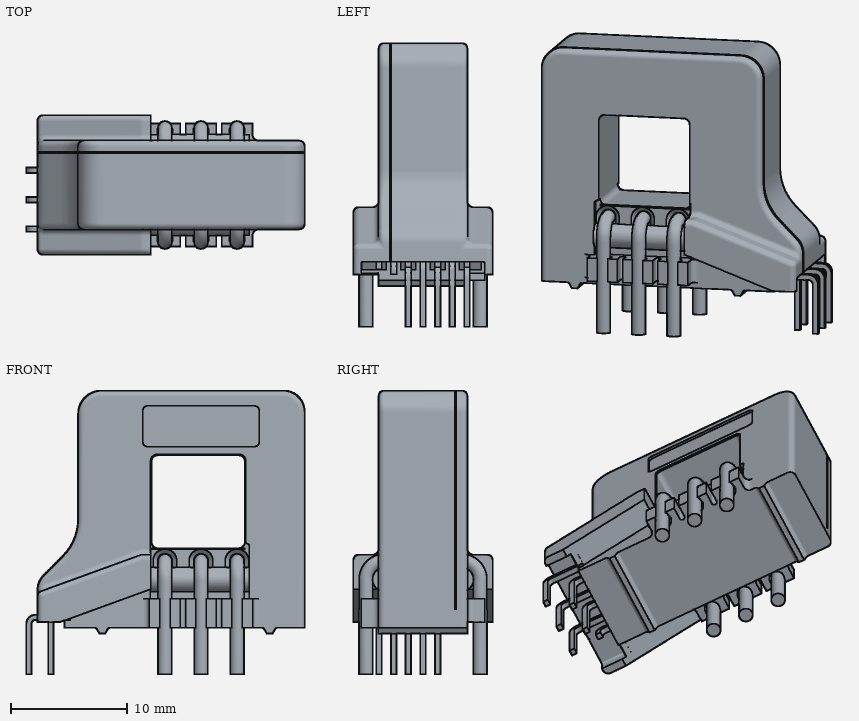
import cadquery as cq
import math


BODY_TOP = 20.4
BODY_RIGHT = 8.92
BODY_LEFT = -10.57
BODY_HALF_WIDTH = 3.825
BASE_LEFT = -11.73
EDGE_FILLET = 0.5
TOP_LEFT_RADIUS = 2.0
TOP_RIGHT_RADIUS = 1.8
NECK_BOTTOM = 9.38
NECK_RADIUS = 4.55
NOSE_FRONT = -14.06
NOSE_BOTTOM = 0.5
NOSE_ARC_TOP = 4.52
SIN_45 = math.sin(math.radians(45))
COS_45 = math.cos(math.radians(45))
FAR = 100
MARGIN = 0.1

GROOVE_Y = 2.74
GROOVE_WIDTH = 0.12
GROOVE_DEPTH = 0.05

WING_HALF_WIDTH = 6.0
WING_RIGHT = -4.3
WING_TOP = 6.3
WING_SLOPE_START = -5.1
WING_ANGLE = 20
WING_FOOT_END = -12.1
WING_FILLET = 0.5
WING_BEND_RADIUS = 0.67
TAN_WING = math.tan(math.radians(WING_ANGLE))

CAVITY_TOP = 1.62
CAVITY_HALF_WIDTH = 5.29
NOTCH_BOTTOM = 0.93
NOTCH_DEPTH = 0.5
NOTCH_TOP_DEPTH = 0.15
CAVITY_RADIUS = 0.15
NOTCH_SPANS = [(3.15, 5.28), (0.62, 1.92), (-1.91, -0.61), (-4.99, -3.13)]

WINDOW_LEFT = -4.24
WINDOW_RIGHT = 3.76
WINDOW_BOTTOM = 6.86
WINDOW_TOP = 14.82
WINDOW_RADIUS = 0.5
WINDOW_CHAMFER = 0.1
PANEL_LENGTH = 10.0
PANEL_HEIGHT = 3.5
PANEL_CENTER_Z = 17.33
PANEL_RADIUS = 0.4
PANEL_DEPTH = 0.2

WIRE_PITCH = 3.1
WIRE_XS = [-WIRE_PITCH, 0, WIRE_PITCH]
WIRE_RADIUS = 0.6
WIRE_Y = 4.9
PIN_END = -4.0
BEND_Y = 3.3
BEND_Z = 4.16
BEND_RADIUS = WIRE_Y - BEND_Y
WIRE_LEVEL = BEND_Z + BEND_RADIUS
ROD_RADIUS = 1.04
BAY_LEFT = WINDOW_LEFT - WINDOW_CHAMFER
BAY_RIGHT = 4.15
BAY_DEPTH = 0.5
BAY_CORNER_LOW = 7.15
BAY_CORNER_HIGH = 7.35
ENTRY_RADIUS = 1.02
ENTRY_DEPTH = 0.4
COMB_HALF_LENGTH = 4.44
COMB_REACH = 5.29
COMB_TOP = 2.52
REAR_COMB_BOTTOM = 0.5
COMB_ROOT_RADIUS = 0.5
COMB_GAP = 0.46
COMB_GAP_END = 4.0
CLIP_RADIUS = 0.65
CLIP_CENTER = 4.65
CLIP_MOUTH = 0.87

RIDGE_XS = [-8.48, 5.9]
RIDGE_HEIGHT = 0.5
RIDGE_BASE = 1.06
RIDGE_TIP = 0.5
RIDGE_FLARE = 0.2

LEAD_PITCH = 2.52
FRONT_LEAD_ROWS = [-1.5, -0.5, 0.5, 1.5]
REAR_LEAD_ROWS = [-1, 0, 1]
LEAD_WIDTH = 0.5
LEAD_THICKNESS = 0.46
LEAD_BEND = 0.8
FRONT_LEAD_X = -15.02
FRONT_LEAD_TOP = 1.14
REAR_LEAD_X = -13.13
REAR_LEAD_TOP = 1.68
TRIMMED_REAR_END = 0.54
TRIMMED_FRONT_END = 0.98


def box(x0, x1, y0, y1, z0, z1):
    return cq.Workplane("XY").box(x1 - x0, y1 - y0, z1 - z0, centered=False).translate((x0, y0, z0))


def side_sketch(y):
    """XZ workplane at the given Y, extruding toward +Y."""
    return cq.Workplane(cq.Plane(origin=(0, y, 0), xDir=(1, 0, 0), normal=(0, -1, 0)))


def body_outline(y):
    neck_end_x = BODY_LEFT - NECK_RADIUS * (1 - COS_45)
    neck_end_z = NECK_BOTTOM - NECK_RADIUS * SIN_45
    nose_arc_x = neck_end_x - (neck_end_z - NOSE_ARC_TOP)
    nose_radius = (nose_arc_x - NOSE_FRONT) / (1 - COS_45)
    nose_top = NOSE_ARC_TOP - nose_radius * SIN_45
    return (
        side_sketch(y)
        .moveTo(BASE_LEFT, 0)
        .lineTo(BODY_RIGHT, 0)
        .lineTo(BODY_RIGHT, BODY_TOP - TOP_RIGHT_RADIUS)
        .radiusArc((BODY_RIGHT - TOP_RIGHT_RADIUS, BODY_TOP), -TOP_RIGHT_RADIUS)
        .lineTo(BODY_LEFT + TOP_LEFT_RADIUS, BODY_TOP)
        .radiusArc((BODY_LEFT, BODY_TOP - TOP_LEFT_RADIUS), -TOP_LEFT_RADIUS)
        .lineTo(BODY_LEFT, NECK_BOTTOM)
        .radiusArc((neck_end_x, neck_end_z), NECK_RADIUS)
        .lineTo(nose_arc_x, NOSE_ARC_TOP)
        .radiusArc((NOSE_FRONT, nose_top), -nose_radius)
        .lineTo(NOSE_FRONT, NOSE_BOTTOM)
        .lineTo(BASE_LEFT, NOSE_BOTTOM)
        .close()
    )


def make_body():
    body = body_outline(-BODY_HALF_WIDTH).extrude(-2 * BODY_HALF_WIDTH)
    above_base = cq.selectors.BoxSelector((-FAR, -FAR, NOSE_BOTTOM + MARGIN), (FAR, FAR, FAR))
    return body.faces("<Y or >Y").edges(above_base).fillet(EDGE_FILLET)


def make_wings():
    nose_height = WING_TOP - TAN_WING * (WING_SLOPE_START - NOSE_FRONT)
    right_underside = NOSE_BOTTOM + TAN_WING * (WING_RIGHT - WING_FOOT_END)
    wings = (
        side_sketch(-WING_HALF_WIDTH)
        .moveTo(NOSE_FRONT, NOSE_BOTTOM)
        .lineTo(WING_FOOT_END, NOSE_BOTTOM)
        .lineTo(WING_RIGHT, right_underside)
        .lineTo(WING_RIGHT, WING_TOP)
        .lineTo(WING_SLOPE_START, WING_TOP)
        .lineTo(NOSE_FRONT, nose_height)
        .close()
        .extrude(-2 * WING_HALF_WIDTH)
    )
    wings = wings.faces(">Z").edges("<X").fillet(WING_BEND_RADIUS)
    front_edges = wings.faces("<X").edges("not(<Z)")
    above_underside = cq.selectors.BoxSelector(
        (NOSE_FRONT + MARGIN, -FAR, right_underside), (WING_RIGHT - MARGIN, FAR, FAR)
    )
    outer_top_edges = wings.faces("<Y or >Y").edges(above_underside)
    return front_edges.add(outer_top_edges).fillet(WING_FILLET)


def fillet_wing_roots(housing):
    """Round the corner between the wing tops and the body sides."""
    for y in (-BODY_HALF_WIDTH, BODY_HALF_WIDTH):
        along_root = cq.selectors.BoxSelector(
            (NOSE_FRONT + WING_FILLET, y - MARGIN, WING_TOP / 2),
            (WING_RIGHT - MARGIN, y + MARGIN, WING_TOP + MARGIN),
        )
        housing = housing.edges(along_root).fillet(WING_FILLET)
    return housing


def cut_groove(housing):
    band = body_outline(GROOVE_Y).extrude(-GROOVE_WIDTH)
    core = body_outline(GROOVE_Y).offset2D(-GROOVE_DEPTH).extrude(-GROOVE_WIDTH)
    above_cavity = box(NOSE_FRONT, BODY_RIGHT, GROOVE_Y, GROOVE_Y + GROOVE_WIDTH, CAVITY_TOP, BODY_TOP)
    return housing.cut(band.cut(core).intersect(above_cavity))


def make_notch(y0, y1):
    return (
        side_sketch(y0)
        .moveTo(BASE_LEFT, NOTCH_BOTTOM)
        .lineTo(BASE_LEFT + NOTCH_DEPTH, NOTCH_BOTTOM)
        .lineTo(BASE_LEFT + NOTCH_TOP_DEPTH, CAVITY_TOP)
        .lineTo(BASE_LEFT, CAVITY_TOP)
        .close()
        .extrude(y0 - y1)
    )


def cut_cavity(housing):
    cavity = box(NOSE_FRONT, BASE_LEFT, -CAVITY_HALF_WIDTH, CAVITY_HALF_WIDTH, 0, CAVITY_TOP)
    housing = housing.cut(cavity.faces(">Z").edges("|X").fillet(CAVITY_RADIUS))
    for y0, y1 in NOTCH_SPANS:
        housing = housing.cut(make_notch(y0, y1))
    return housing


def cut_window(housing):
    center_x = (WINDOW_LEFT + WINDOW_RIGHT) / 2
    center_z = (WINDOW_BOTTOM + WINDOW_TOP) / 2
    width = WINDOW_RIGHT - WINDOW_LEFT
    height = WINDOW_TOP - WINDOW_BOTTOM
    window = (
        side_sketch(-BODY_HALF_WIDTH)
        .center(center_x, center_z)
        .rect(width, height)
        .extrude(-2 * BODY_HALF_WIDTH)
        .edges("|Y")
        .fillet(WINDOW_RADIUS)
    )
    housing = housing.cut(window)
    for face in ("<Y", ">Y"):
        rim = window.faces(face).wires().toPending().offset2D(WINDOW_CHAMFER)
        housing = housing.cut(rim.extrude(-WINDOW_CHAMFER, taper=45))
    return housing


def cut_panel(housing):
    panel = (
        side_sketch(-BODY_HALF_WIDTH)
        .center(0, PANEL_CENTER_Z)
        .rect(PANEL_LENGTH, PANEL_HEIGHT)
        .extrude(-PANEL_DEPTH)
        .edges("|Y")
        .fillet(PANEL_RADIUS)
    )
    return housing.cut(panel)


def make_ridge(x):
    """Rounded-foot ridge across the seating face."""
    base = box(x - RIDGE_BASE, x + RIDGE_BASE, -BODY_HALF_WIDTH, BODY_HALF_WIDTH, 0, RIDGE_HEIGHT)
    rib = (
        side_sketch(-BODY_HALF_WIDTH)
        .moveTo(x - RIDGE_BASE / 2, 0)
        .lineTo(x - RIDGE_TIP / 2, -RIDGE_HEIGHT)
        .lineTo(x + RIDGE_TIP / 2, -RIDGE_HEIGHT)
        .lineTo(x + RIDGE_BASE / 2, 0)
        .close()
        .extrude(-2 * BODY_HALF_WIDTH)
    )
    reach = RIDGE_BASE / 2 + MARGIN
    feet = cq.selectors.BoxSelector((x - reach, -MARGIN, -MARGIN), (x + reach, MARGIN, MARGIN))
    return base.union(rib).edges("|Y").edges(feet).fillet(RIDGE_FLARE)




def make_bay():
    """Shallow recess behind a row of wires, below the window sill."""
    return (
        side_sketch(-BODY_HALF_WIDTH)
        .moveTo(BAY_LEFT, 0)
        .lineTo(BAY_RIGHT, 0)
        .lineTo(BAY_RIGHT, BAY_CORNER_LOW)
        .lineTo(WINDOW_RIGHT, BAY_CORNER_HIGH)
        .lineTo(BAY_LEFT, BAY_CORNER_HIGH)
        .close()
        .extrude(-BAY_DEPTH)
    )


def make_sill_bevel():
    """Wedge that breaks the sill edge above the bay."""
    edge_y = BAY_DEPTH - BODY_HALF_WIDTH
    return (
        cq.Workplane("YZ", origin=(WINDOW_LEFT, 0, 0))
        .moveTo(edge_y, WINDOW_BOTTOM)
        .lineTo(edge_y + WINDOW_CHAMFER, WINDOW_BOTTOM)
        .lineTo(edge_y, WINDOW_BOTTOM - WINDOW_CHAMFER)
        .close()
        .extrude(WINDOW_RIGHT - WINDOW_LEFT)
    )


def make_wire_entry(x):
    """Arched opening that narrows with depth down to the wire."""
    return (
        side_sketch(BAY_DEPTH - BODY_HALF_WIDTH)
        .moveTo(x - ENTRY_RADIUS, BEND_Z)
        .lineTo(x + ENTRY_RADIUS, BEND_Z)
        .lineTo(x + ENTRY_RADIUS, WIRE_LEVEL)
        .threePointArc((x, WIRE_LEVEL + ENTRY_RADIUS), (x - ENTRY_RADIUS, WIRE_LEVEL))
        .close()
        .extrude(-ENTRY_DEPTH, taper=45)
    )


def make_comb():
    """Toothed block whose C-shaped holes clip the wires."""
    root_y = -BODY_HALF_WIDTH
    half_foot = COMB_HALF_LENGTH + COMB_ROOT_RADIUS
    inner_y = root_y + 2 * BAY_DEPTH
    comb = (
        cq.Workplane("XY")
        .moveTo(-half_foot, inner_y)
        .lineTo(-half_foot, root_y)
        .radiusArc((-COMB_HALF_LENGTH, root_y - COMB_ROOT_RADIUS), COMB_ROOT_RADIUS)
        .lineTo(-COMB_HALF_LENGTH, -COMB_REACH)
        .lineTo(COMB_HALF_LENGTH, -COMB_REACH)
        .lineTo(COMB_HALF_LENGTH, root_y - COMB_ROOT_RADIUS)
        .radiusArc((half_foot, root_y), COMB_ROOT_RADIUS)
        .lineTo(half_foot, inner_y)
        .close()
        .extrude(COMB_TOP)
    )
    gap_center = -COMB_GAP_END - COMB_GAP / 2
    for x in (-WIRE_PITCH / 2, WIRE_PITCH / 2):
        gap_end = cq.Workplane("XY").center(x, gap_center).circle(COMB_GAP / 2).extrude(COMB_TOP)
        gap = box(x - COMB_GAP / 2, x + COMB_GAP / 2, -COMB_REACH, gap_center, 0, COMB_TOP)
        comb = comb.cut(gap).cut(gap_end)
    for x in WIRE_XS:
        clip = cq.Workplane("XY").center(x, -CLIP_CENTER).circle(CLIP_RADIUS).extrude(COMB_TOP)
        mouth = box(x - CLIP_MOUTH / 2, x + CLIP_MOUTH / 2, -COMB_REACH, -CLIP_CENTER, 0, COMB_TOP)
        comb = comb.cut(clip).cut(mouth)
    return comb


def trim_rear_comb(housing):
    half_foot = COMB_HALF_LENGTH + COMB_ROOT_RADIUS
    return housing.cut(box(-half_foot, half_foot, BODY_HALF_WIDTH, COMB_REACH, 0, REAR_COMB_BOTTOM))


def make_rod():
    rod = cq.Workplane("YZ").center(-BEND_Y, BEND_Z).circle(ROD_RADIUS).extrude(BAY_RIGHT - BAY_LEFT)
    return rod.translate((BAY_LEFT, 0, 0))


def make_wire(x):
    """Pin that rises, bends over the rod and runs level to the mid-plane."""
    path = (
        cq.Workplane("YZ", origin=(x, 0, 0))
        .moveTo(-WIRE_Y, PIN_END)
        .lineTo(-WIRE_Y, BEND_Z)
        .radiusArc((-BEND_Y, WIRE_LEVEL), BEND_RADIUS)
        .lineTo(0, WIRE_LEVEL)
    )
    return cq.Workplane("XY", origin=(x, -WIRE_Y, PIN_END)).circle(WIRE_RADIUS).sweep(path)


def make_lead(x, y, top, bottom, inner_end):
    """Flat lead that leaves the body level and bends down."""
    inner_bend = LEAD_BEND - LEAD_THICKNESS
    return (
        side_sketch(y - LEAD_WIDTH / 2)
        .moveTo(x, bottom)
        .lineTo(x, top - LEAD_BEND)
        .radiusArc((x + LEAD_BEND, top), LEAD_BEND)
        .lineTo(inner_end, top)
        .lineTo(inner_end, top - LEAD_THICKNESS)
        .lineTo(x + LEAD_BEND, top - LEAD_THICKNESS)
        .radiusArc((x + LEAD_THICKNESS, top - LEAD_BEND), -inner_bend)
        .lineTo(x + LEAD_THICKNESS, bottom)
        .close()
        .extrude(-LEAD_WIDTH)
    )


def make_leads():
    """Front and rear rows of leads; the last lead of each row is cut off inside the cavity."""
    notch_back = BASE_LEFT + NOTCH_DEPTH
    upturn_front = notch_back - LEAD_THICKNESS
    leads = []
    for row in FRONT_LEAD_ROWS:
        y = row * LEAD_PITCH
        trimmed = row == FRONT_LEAD_ROWS[-1]
        low = TRIMMED_FRONT_END if trimmed else NOTCH_BOTTOM
        y0 = y - LEAD_WIDTH / 2
        leads.append(box(upturn_front, notch_back, y0, y0 + LEAD_WIDTH, low, CAVITY_TOP))
        if not trimmed:
            leads.append(make_lead(FRONT_LEAD_X, y, FRONT_LEAD_TOP, PIN_END, notch_back))
    for row in REAR_LEAD_ROWS:
        end = TRIMMED_REAR_END if row == REAR_LEAD_ROWS[-1] else PIN_END
        leads.append(make_lead(REAR_LEAD_X, row * LEAD_PITCH, REAR_LEAD_TOP, end, notch_back))
    return leads


def add_both_sides(housing, shape):
    return housing.union(shape).union(shape.mirror("XZ"))


def cut_both_sides(housing, shape):
    return housing.cut(shape).cut(shape.mirror("XZ"))


housing = fillet_wing_roots(make_body().union(make_wings()))
housing = cut_groove(housing)
housing = cut_cavity(housing)
housing = cut_window(housing)
housing = cut_panel(housing)
for ridge_x in RIDGE_XS:
    housing = housing.union(make_ridge(ridge_x))

housing = cut_both_sides(housing, make_bay())
housing = cut_both_sides(housing, make_sill_bevel())
for wire_x in WIRE_XS:
    housing = cut_both_sides(housing, make_wire_entry(wire_x))
housing = add_both_sides(housing, make_comb())
housing = trim_rear_comb(housing)
housing = add_both_sides(housing, make_rod())
for wire_x in WIRE_XS:
    housing = add_both_sides(housing, make_wire(wire_x))

for lead in make_leads():
    housing = housing.union(lead)

result = housing